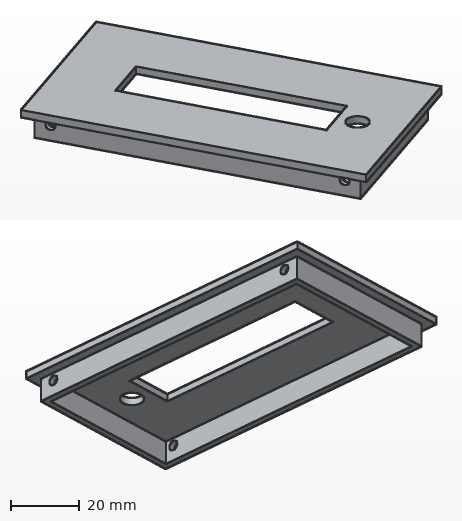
import cadquery as cq

plate_length = 108.0
plate_width = 59.0
plate_thickness = 2.5
total_height = 10.0

skirt_inset = 3.0
skirt_wall = 2.0
skirt_length = plate_length - 2 * skirt_inset
skirt_width = plate_width - 2 * skirt_inset
skirt_height = total_height - plate_thickness

window_length = 65.9
window_width = 16.0
round_hole_diameter = 7.0
round_hole_x = 39.5

screw_hole_diameter = 3.0
screw_hole_x = 46.0
screw_hole_z = 5.1


def make_plate():
    plate = cq.Workplane("XY").workplane(offset=skirt_height).rect(plate_length, plate_width)
    return plate.extrude(plate_thickness)


def make_skirt():
    cavity_length = skirt_length - 2 * skirt_wall
    cavity_width = skirt_width - 2 * skirt_wall
    outline = cq.Workplane("XY").rect(skirt_length, skirt_width)
    return outline.rect(cavity_length, cavity_width).extrude(skirt_height)


def make_plate_openings():
    window = cq.Workplane("XY").rect(window_length, window_width).extrude(total_height)
    round_hole = cq.Workplane("XY").center(round_hole_x, 0).circle(round_hole_diameter / 2)
    return window.union(round_hole.extrude(total_height))


def make_screw_holes():
    centers = [(side * screw_hole_x, screw_hole_z) for side in (-1, 1)]
    holes = cq.Workplane("XZ").pushPoints(centers).circle(screw_hole_diameter / 2)
    return holes.extrude(plate_width / 2, both=True)


result = make_plate().union(make_skirt()).cut(make_plate_openings()).cut(make_screw_holes())